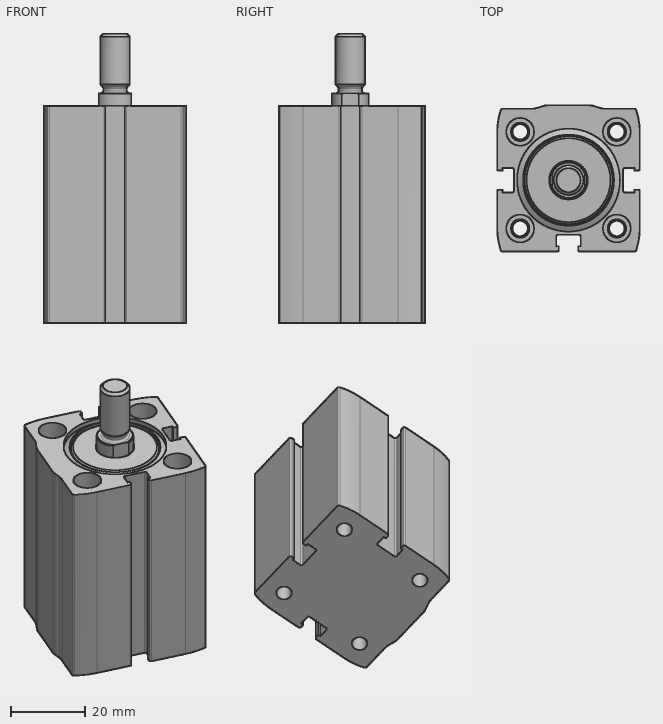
import cadquery as cq
import math

total_height = 78.0
body_height = 58.6
half_width = 19.3
pick_tolerance = 0.01

side_flat_half = 12.8
side_arc_radius = 19.5
corner_radius = 0.6
boss_rise = 0.9
boss_top_half = 6.2
boss_foot_half = 9.3
boss_blend_radius = 3.9

slot_neck_width = 5.15
slot_neck_depth = 1.5
slot_width = 6.55
slot_depth = 4.5
slot_radius = 0.5

hole_offset = 13.0
hole_diameter = 4.1
hole_seat_diameter = 5.0
counterbore_diameter = 7.5
counterbore_depth = 6.25

groove_diameter = 27.8
groove_depth = 1.3
cap_recess = 0.4
rim_diameter = 24.6
rim_chamfer = 0.2
cap_diameter = 23.7
cap_chamfer = 0.55

rod_diameter = 10.0
rod_insertion = 19.5
rod_across_flats = 8.9
rod_flat_insertion = 1.0
collar_height = 3.4
collar_chamfer = 0.2
bore_chamfer = 0.2
thread_diameter = 8.0
thread_chamfer = 0.8
thread_start = 5.8
neck_diameter = 6.4
neck_fillet = 0.6

cap_top = body_height - cap_recess


def revolved(points):
    """Solid of revolution about Z from (radius, z) points."""
    return cq.Workplane("XZ").polyline(points).close().revolve(360, (0, 0, 0), (0, 1, 0))


def round_vertical_edges(solid, places, radius):
    """Fillet the edges parallel to Z that stand at the given (x, y) places."""
    for x, y in places:
        edge_box = cq.selectors.BoxSelector(
            (x - pick_tolerance, y - pick_tolerance, -pick_tolerance),
            (x + pick_tolerance, y + pick_tolerance, body_height + pick_tolerance),
        )
        solid = solid.edges("|Z").edges(edge_box).fillet(radius)
    return solid


def ring_at(radius, z):
    """Selector for the circular edge of a given radius around Z at height z."""
    reach = radius + pick_tolerance
    return cq.selectors.BoxSelector(
        (-reach, -reach, z - pick_tolerance),
        (reach, reach, z + pick_tolerance),
        boundingbox=True,
    )


def housing_blank():
    """Extruded outline with bulged sides and the raised band on +Y."""
    corner_rise = half_width - side_flat_half
    corner_angle = math.asin(corner_rise / side_arc_radius)
    corner_x = half_width - side_arc_radius * (1 - math.cos(corner_angle))
    mid_x = half_width - side_arc_radius * (1 - math.cos(corner_angle / 2))
    mid_y = side_flat_half + side_arc_radius * math.sin(corner_angle / 2)
    boss_y = half_width + boss_rise
    blank = (
        cq.Workplane("XY")
        .moveTo(0, -half_width)
        .lineTo(corner_x, -half_width)
        .threePointArc((mid_x, -mid_y), (half_width, -side_flat_half))
        .lineTo(half_width, side_flat_half)
        .threePointArc((mid_x, mid_y), (corner_x, half_width))
        .lineTo(boss_foot_half, half_width)
        .lineTo(boss_top_half, boss_y)
        .lineTo(0, boss_y)
        .mirrorY()
        .extrude(body_height)
    )
    corners = [(sx * corner_x, sy * half_width) for sx in (-1, 1) for sy in (-1, 1)]
    boss_bends = [(s * boss_foot_half, half_width) for s in (-1, 1)]
    boss_bends += [(s * boss_top_half, boss_y) for s in (-1, 1)]
    blank = round_vertical_edges(blank, corners, corner_radius)
    return round_vertical_edges(blank, boss_bends, boss_blend_radius)


def cut_slot(solid, angle):
    """T-slot over the full height in the -Y face, turned about Z by angle."""
    neck = cq.Workplane("XY").box(slot_neck_width, slot_depth, body_height, centered=(True, False, False))
    pocket = (
        cq.Workplane("XY")
        .box(slot_width, slot_depth - slot_neck_depth, body_height, centered=(True, False, False))
        .edges("|Z and >Y")
        .fillet(slot_radius)
        .translate((0, slot_neck_depth, 0))
    )
    slot = neck.union(pocket).translate((0, -half_width, 0)).rotate((0, 0, 0), (0, 0, 1), angle)
    turn = math.radians(angle)
    lips = []
    for x in (-slot_neck_width / 2, slot_neck_width / 2):
        lip_x = x * math.cos(turn) + half_width * math.sin(turn)
        lip_y = x * math.sin(turn) - half_width * math.cos(turn)
        lips.append((lip_x, lip_y))
    return round_vertical_edges(solid.cut(slot), lips, slot_radius)


def mounting_hole():
    """Cutter for a through hole with a countersunk seat under a counterbore."""
    seat_z = body_height - counterbore_depth
    cone_z = seat_z - (hole_seat_diameter - hole_diameter) / 2
    return revolved([
        (0, 0),
        (hole_diameter / 2, 0),
        (hole_diameter / 2, cone_z),
        (hole_seat_diameter / 2, seat_z),
        (counterbore_diameter / 2, seat_z),
        (counterbore_diameter / 2, body_height),
        (0, body_height),
    ])


def cap_grooves():
    """Recess over the cap, the groove with its sloped inner flank, and the gap around the cap."""
    rim_r = rim_diameter / 2
    cap_r = cap_diameter / 2
    gap_floor = cap_top - cap_chamfer
    return revolved([
        (0, body_height),
        (groove_diameter / 2, body_height),
        (groove_diameter / 2, body_height - groove_depth),
        (rim_r, cap_top),
        (rim_r - rim_chamfer, gap_floor),
        (cap_r, gap_floor),
        (cap_r - cap_chamfer, cap_top),
        (0, cap_top),
    ])


def rod_bore():
    """Cutter for the blind bore that holds the rod, chamfered at its mouth."""
    radius = rod_diameter / 2
    return revolved([
        (0, body_height - rod_insertion),
        (radius, body_height - rod_insertion),
        (radius, cap_top - bore_chamfer),
        (radius + bore_chamfer, cap_top),
        (0, cap_top),
    ])


def make_housing():
    """Housing with its end cap."""
    solid = housing_blank()
    for angle in (0, 90, -90):
        solid = cut_slot(solid, angle)
    for x in (-hole_offset, hole_offset):
        for y in (-hole_offset, hole_offset):
            solid = solid.cut(mounting_hole().translate((x, y, 0)))
    return solid.cut(cap_grooves()).cut(rod_bore())


def make_piston_rod():
    """Rod with a two-flat collar, an undercut neck and the threaded end."""
    rod_r = rod_diameter / 2
    thread_r = thread_diameter / 2
    neck_r = neck_diameter / 2
    collar_z = body_height + collar_height
    thread_z = body_height + thread_start
    neck_top_z = thread_z - (thread_r - neck_r)
    rod = (
        cq.Workplane("XZ")
        .moveTo(0, body_height - rod_insertion)
        .lineTo(rod_r, body_height - rod_insertion)
        .lineTo(rod_r, collar_z - collar_chamfer)
        .lineTo(rod_r - collar_chamfer, collar_z)
        .lineTo(neck_r, collar_z)
        .lineTo(neck_r, neck_top_z)
        .lineTo(thread_r, thread_z)
        .lineTo(thread_r, total_height - thread_chamfer)
        .lineTo(thread_r - thread_chamfer, total_height)
        .lineTo(0, total_height)
        .close()
        .revolve(360, (0, 0, 0), (0, 1, 0))
    )
    for corner_z in (collar_z, neck_top_z):
        rod = rod.edges(ring_at(neck_r, corner_z)).fillet(neck_fillet)
    flat_height = collar_height + rod_flat_insertion
    for side in (-1, 1):
        flat = (
            cq.Workplane("XY")
            .box(rod_diameter, rod_diameter, flat_height, centered=(True, True, False))
            .translate((side * (rod_across_flats + rod_diameter) / 2, 0, body_height - rod_flat_insertion))
        )
        rod = rod.cut(flat)
    return rod


housing = make_housing()
piston_rod = make_piston_rod()

result = cq.Compound.makeCompound([housing.val(), piston_rod.val()])